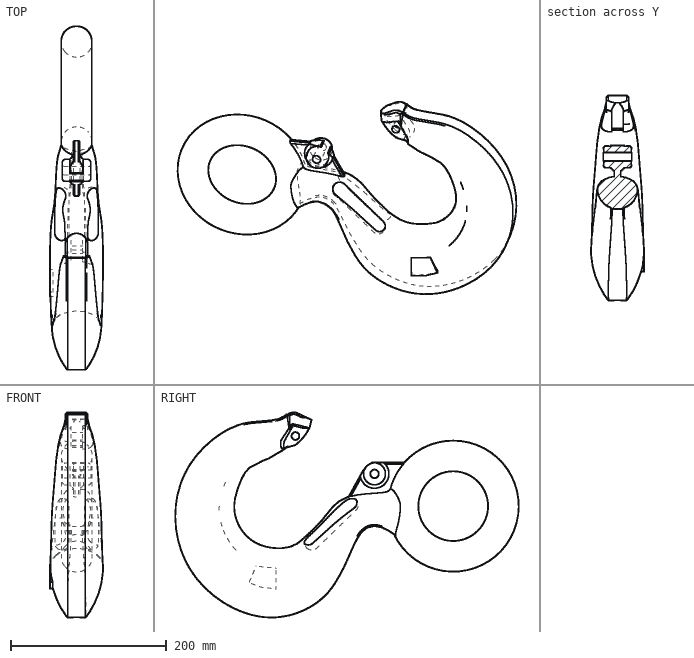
import cadquery as cq
import math


HOOK_WIDTH = 68.5

EYE_OUTER_RADIUS = 84.5
EYE_BAR_RADIUS = 20.0
EYE_RING_RADIUS = EYE_OUTER_RADIUS - EYE_BAR_RADIUS

BOWL_Y = -227.5
THROAT_RADIUS = 54.0
BACK_RADIUS = 130.0
BACK_CENTRE_Z = -13.2

BACK_HALF_WIDTH = 13.2
BACK_EDGE_CHAMFER = 1.8
NECK_BACK_HALF_WIDTH = 9.0

PAD_DEPTH = 13.2

LUG_HOLE_Y = -101.0
LUG_HOLE_Z = 41.5
LUG_HOLE_RADIUS = 5.5
LUG_BOSS_RADIUS = 14.0
LUG_BOSS_HALF_LENGTH = 18.0
LUG_BOSS_EDGE = 3.5
LUG_WEB_THICKNESS = 9.0
LUG_WEB_CHAMFER = 2.0
LUG_COLLAR = 4.5
LUG_TOP_Z = 56.0

TIP_WIDTH = 29.0
TIP_END_Y = -182.0
TIP_LENGTH = 26.5
TIP_TOP_Z = 120.5
TIP_CHAMFER = 2.5
RECESS_WALL_ANGLE = 18
TONGUE_THICKNESS = 15.0
TIP_HOLE_Y = -202.5
TIP_HOLE_Z = 90.0
TIP_HOLE_RADIUS = 5.0

RIB_WIDTH = 19.5
GROOVE_RADIUS = 9.3
GROOVE_START = (-131.5, 1.8)
GROOVE_END = (-182.0, -47.0)


def yz_slab(outline, thickness):
    """Closed outline in YZ, extruded evenly to both sides of the mid-plane."""
    return cq.Workplane("YZ").polyline(outline).close().extrude(thickness / 2, both=True)


def x_cylinder(y, z, radius, half_length):
    """Cylinder along X, reaching the half length to both sides of the mid-plane."""
    return cq.Workplane("YZ").center(y, z).circle(radius).extrude(half_length, both=True)


def hook_section(inner, outer, half_width, widest, back_half_width):
    """Section across the hook from an inner to an outer (y, z) point.

    The inside is half an ellipse that ends at the widest place, given as a fraction of the depth.
    The sides curve from there to the narrow flat back, which has chamfered edges.
    """
    depth = math.dist(inner, outer)
    dy = (outer[0] - inner[0]) / depth
    dz = (outer[1] - inner[1]) / depth

    def at(x, d):
        return cq.Vector(x, inner[0] + d * dy, inner[1] + d * dz)

    normal = cq.Vector(0, -dz, dy)
    nose = widest * depth
    side_end = depth - BACK_EDGE_CHAMFER
    side_length = side_end - nose
    flat_half_width = back_half_width - BACK_EDGE_CHAMFER
    drop = half_width - back_half_width
    side_radius = (side_length**2 + drop**2) / (2 * drop)
    middle = math.asin(side_length / side_radius) / 2
    bulge_x = half_width - side_radius * (1 - math.cos(middle))
    bulge_d = nose + side_radius * math.sin(middle)

    inside = cq.Edge.makeEllipse(
        half_width, nose, at(0, nose), normal, cq.Vector(1, 0, 0), 180, 360)
    left_side = cq.Edge.makeThreePointArc(
        at(-half_width, nose), at(-bulge_x, bulge_d), at(-back_half_width, side_end))
    left_chamfer = cq.Edge.makeLine(at(-back_half_width, side_end), at(-flat_half_width, depth))
    back = cq.Edge.makeLine(at(-flat_half_width, depth), at(flat_half_width, depth))
    right_chamfer = cq.Edge.makeLine(at(flat_half_width, depth), at(back_half_width, side_end))
    right_side = cq.Edge.makeThreePointArc(
        at(back_half_width, side_end), at(bulge_x, bulge_d), at(half_width, nose))
    return cq.Wire.assembleEdges([inside, left_side, left_chamfer, back, right_chamfer, right_side])


def bowl_section(angle, half_width, widest):
    """Section on the round bowl, at an angle in degrees from -Y, negative towards the bottom."""
    c = math.cos(math.radians(angle))
    s = math.sin(math.radians(angle))
    inner = (BOWL_Y - THROAT_RADIUS * c, THROAT_RADIUS * s)
    outer = (BOWL_Y - BACK_RADIUS * c, BACK_CENTRE_Z + BACK_RADIUS * s)
    return hook_section(inner, outer, half_width, widest, BACK_HALF_WIDTH)


def make_eye():
    return cq.Workplane(cq.Solid.makeTorus(EYE_RING_RADIUS, EYE_BAR_RADIUS,
                                           cq.Vector(0, 0, 0), cq.Vector(1, 0, 0)))


def make_hook_body():
    neck = NECK_BACK_HALF_WIDTH
    back = BACK_HALF_WIDTH
    sections = [
        hook_section((-67.0, 29.0), (-67.0, -43.3), 19.5, 0.4, neck),
        hook_section((-82.5, 20.5), (-82.5, -32.0), 24.0, 0.4, neck),
        hook_section((-101.0, 16.8), (-101.0, -25.5), 26.0, 0.4, neck),
        hook_section((-136.5, 11.5), (-118.5, -34.0), 27.5, 0.48, neck),
        hook_section((-165.5, -14.0), (-133.8, -65.0), 30.0, 0.4, 10.5),
        hook_section((-180.0, -30.0), (-145.5, -88.7), 32.2, 0.38, 12.5),
        hook_section((-195.5, -44.0), (-162.0, -112.5), 33.5, 0.35, back),
        bowl_section(-90, HOOK_WIDTH / 2, 0.27),
        bowl_section(-60, 33.5, 0.27),
        bowl_section(-30, 32.5, 0.26),
        bowl_section(0, 31.5, 0.26),
        bowl_section(22, 29.0, 0.26),
        hook_section((-261.5, 49.5), (-307.5, 86.5), 26.0, 0.27, back),
        hook_section((-242.5, 58.3), (-270.5, 106.0), 24.0, 0.27, back),
        hook_section((-222.0, 69.8), (-233.5, 110.5), 21.0, 0.25, back),
        hook_section((-207.5, 77.5), (-213.5, 118.5), 17.0, 0.25, back),
    ]
    return cq.Workplane(cq.Solid.makeLoft(sections))


def make_tip():
    side_outline = (
        cq.Workplane("YZ")
        .moveTo(TIP_END_Y, 111.0)
        .lineTo(-199.5, 119.0)
        .threePointArc((-205.5, TIP_TOP_Z), (-213.0, 117.5))
        .lineTo(-213.0, 75.5)
        .lineTo(-203.0, 78.0)
        .threePointArc((-191.5, 89.0), (-184.0, 101.5))
        .close()
        .extrude(TIP_WIDTH / 2, both=True)
    )
    side_outline = side_outline.faces("<X or >X").edges().chamfer(TIP_CHAMFER)
    plan_outline = (
        cq.Workplane("XY")
        .center(0, TIP_END_Y - TIP_WIDTH / 2)
        .moveTo(-TIP_WIDTH / 2, 0)
        .threePointArc((0, TIP_WIDTH / 2), (TIP_WIDTH / 2, 0))
        .line(0, -TIP_LENGTH)
        .line(-TIP_WIDTH, 0)
        .close()
        .extrude(TIP_TOP_Z)
    )
    return side_outline.intersect(plan_outline)


def cut_tip_recesses(part):
    """Thin the inside of the tip to a tongue with sloping walls and drill the latch hole through it."""
    outline = [(-176.5, 99.0), (-192.5, 100.0), (-205.5, 103.5), (-217.0, 83.0), (-218.5, 66.0), (-176.5, 66.0)]
    recess = (
        cq.Workplane("YZ")
        .workplane(offset=TONGUE_THICKNESS / 2)
        .polyline(outline)
        .close()
        .extrude(HOOK_WIDTH / 2, taper=-RECESS_WALL_ANGLE)
    )
    part = part.cut(recess).cut(recess.mirror("YZ"))
    return part.cut(x_cylinder(TIP_HOLE_Y, TIP_HOLE_Z, TIP_HOLE_RADIUS, HOOK_WIDTH))


def make_lug():
    outline = [(-62.0, LUG_TOP_Z), (-104.0, LUG_TOP_Z), (-115.5, 46.0), (-134.0, 12.5),
               (-101.0, 4.5), (-62.0, 4.5)]
    web = yz_slab(outline, LUG_WEB_THICKNESS)
    web = web.faces("<X or >X").edges(">Z or <Y").chamfer(LUG_WEB_CHAMFER)
    boss = x_cylinder(LUG_HOLE_Y, LUG_HOLE_Z, LUG_BOSS_RADIUS, LUG_BOSS_HALF_LENGTH)
    boss = boss.faces("<X or >X").edges().fillet(LUG_BOSS_EDGE)
    collar = x_cylinder(LUG_HOLE_Y, LUG_HOLE_Z, LUG_BOSS_RADIUS + LUG_COLLAR,
                        LUG_WEB_THICKNESS / 2 + LUG_COLLAR)
    collar = collar.faces("<X or >X").edges().chamfer(LUG_COLLAR)
    collar = collar.intersect(yz_slab(outline, HOOK_WIDTH))
    return web.union(boss).union(collar)


def cut_rib_grooves(part):
    """Scoop a round-ended groove along each side of the shank's inside, leaving a rib between them."""
    for side in (-1, 1):
        x = side * (RIB_WIDTH / 2 + GROOVE_RADIUS)
        start = cq.Vector(x, *GROOVE_START)
        end = cq.Vector(x, *GROOVE_END)
        run = end - start
        groove = cq.Workplane(cq.Solid.makeCylinder(GROOVE_RADIUS, run.Length, start, run))
        for point in (start, end):
            groove = groove.union(cq.Workplane("XY").sphere(GROOVE_RADIUS).translate(point))
        part = part.cut(groove)
    return part


def make_pad():
    """Flat label pad standing out of the -X side at the bottom of the bowl."""
    outline = [(-228.2, -79.5), (-253.5, -77.0), (-262.5, -98.0), (-247.0, -103.7), (-228.2, -106.0)]
    return cq.Workplane("YZ").workplane(offset=-HOOK_WIDTH / 2).polyline(outline).close().extrude(PAD_DEPTH)


result = make_eye().union(make_hook_body()).union(make_tip()).union(make_lug()).union(make_pad())
result = cut_tip_recesses(result)
result = cut_rib_grooves(result)
result = result.cut(x_cylinder(LUG_HOLE_Y, LUG_HOLE_Z, LUG_HOLE_RADIUS, HOOK_WIDTH))